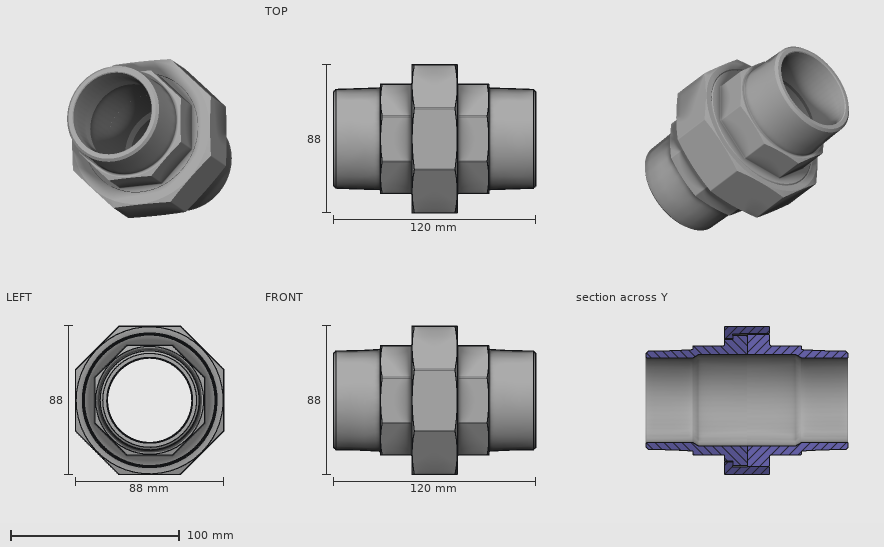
import cadquery as cq
import math


total_length = 120.0
nut_length = 27.0
octagon_end = 32.25
half_length = total_length / 2
nut_half = nut_length / 2

bore_dia = 50.0
bore_chamfer = 0.5
middle_bore_dia = 54.0
bore_step = 32.2
bore_step_angle = math.radians(30)
thread_tip_dia = 58.7
thread_taper = 1 / 16
thread_tip_chamfer = 1.5
root_radius = 0.5

half_step = math.pi / 8
body_across_flats = 65.0
body_face_dia = 64.0
nut_across_flats = 88.0
nut_face_dia = 87.2
corner_angle = math.radians(20)
octagon_corner_radius = 1.0
octagon_base_fillet = 0.5
position_tolerance = 0.01

joint_dia = 78.75
nut_countersink_dia = 80.0
thread_face_dia = 77.5
nut_chamfer = (nut_countersink_dia - joint_dia) / 2
thread_chamfer = (joint_dia - thread_face_dia) / 2

lip_bore_dia = 73.0
neck_dia = 72.5
lip_thickness = 5.0
flange_dia = 77.5


def cylinder(diameter, x_start, x_end):
    """Cylinder about the X axis between two X positions."""
    return cq.Workplane("YZ", origin=(x_start, 0, 0)).circle(diameter / 2).extrude(x_end - x_start)


def cone(start_dia, end_dia, x_start, x_end):
    """Truncated cone about the X axis between two X positions."""
    axis_point = cq.Vector(x_start, 0, 0)
    solid = cq.Solid.makeCone(start_dia / 2, end_dia / 2, x_end - x_start, axis_point, cq.Vector(1, 0, 0))
    return cq.Workplane(obj=solid)


def octagon(across_flats, x_start, x_end):
    """Octagonal bar about the X axis, flats facing Y and Z, with rounded corners."""
    corner_dia = across_flats / math.cos(half_step)
    bar = cq.Workplane("YZ", origin=(x_start, 0, 0)).transformed(rotate=(0, 0, math.degrees(half_step)))
    bar = bar.polygon(8, corner_dia).extrude(x_end - x_start)
    return bar.edges("|X").fillet(octagon_corner_radius)


def corner_cone(face_dia, across_flats, x_face, x_inside):
    """Turned envelope that chamfers the octagon corners at the x_face end."""
    outer_radius = across_flats / 2 / math.cos(half_step)
    inward = math.copysign(1, x_inside - x_face)
    x_rim = x_face + inward * (outer_radius - face_dia / 2) * math.tan(corner_angle)
    profile = [
        (x_face, 0),
        (x_face, face_dia / 2),
        (x_rim, outer_radius),
        (x_inside, outer_radius),
        (x_inside, 0),
    ]
    return cq.Workplane("XY").polyline(profile).close().revolve(360, (0, 0, 0), (1, 0, 0))


def pipe_end():
    """Tapered pipe end at -X, with its tip chamfer and its root fillet."""
    tip_radius = thread_tip_dia / 2
    x_root = -octagon_end - root_radius
    root_end_radius = tip_radius + (x_root + half_length) * thread_taper / 2
    fillet_end_radius = root_end_radius + root_radius
    fillet_middle = (
        -octagon_end - root_radius * (1 - math.sin(math.pi / 4)),
        root_end_radius + root_radius * (1 - math.cos(math.pi / 4)),
    )
    outline = (
        cq.Workplane("XY")
        .moveTo(-half_length, 0)
        .lineTo(-half_length, tip_radius - thread_tip_chamfer)
        .lineTo(-half_length + thread_tip_chamfer, tip_radius)
        .lineTo(x_root, root_end_radius)
        .threePointArc(fillet_middle, (-octagon_end, fillet_end_radius))
        .lineTo(-octagon_end, 0)
        .close()
    )
    return outline.revolve(360, (0, 0, 0), (1, 0, 0))


def outer_half():
    """Pipe end and wrench octagon at -X, solid, up to the nut face."""
    bar = octagon(body_across_flats, -octagon_end, -nut_half)
    bar = bar.intersect(corner_cone(body_face_dia, body_across_flats, -octagon_end, -nut_half))
    return pipe_end().union(bar)


def fillet_octagon_base(body):
    """Fillet the octagonal corner where the -X octagon meets the round base behind it."""
    def is_octagon_edge(edge):
        off_axis = math.hypot(edge.Center().y, edge.Center().z)
        across_axis = edge.BoundingBox().xlen < position_tolerance
        in_base_plane = abs(edge.Center().x + nut_half) < position_tolerance
        return across_axis and in_base_plane and off_axis > body_across_flats / 2 - octagon_corner_radius

    return body.newObject(body.edges().filter(is_octagon_edge).vals()).fillet(octagon_base_fillet)


def bore(body):
    """Bore the -X body: mouth chamfer, pipe bore, widening cone and wide middle bore."""
    mouth_dia = bore_dia + 2 * bore_chamfer
    widening_length = (middle_bore_dia - bore_dia) / 2 / math.tan(bore_step_angle)
    widening_end = -bore_step + widening_length
    body = body.cut(cone(mouth_dia, bore_dia, -half_length, -half_length + bore_chamfer))
    body = body.cut(cylinder(bore_dia, -half_length, -bore_step))
    body = body.cut(cone(bore_dia, middle_bore_dia, -bore_step, widening_end))
    return body.cut(cylinder(middle_bore_dia, widening_end, 0))


def build_left_body():
    thread = cylinder(joint_dia, -nut_half, 0).faces("<X").chamfer(thread_chamfer)
    return bore(fillet_octagon_base(outer_half().union(thread)))


def build_right_body():
    neck = cylinder(neck_dia, -nut_half, -nut_half + lip_thickness)
    flange = cylinder(flange_dia, -nut_half + lip_thickness, 0)
    body = bore(fillet_octagon_base(outer_half().union(neck)).union(flange))
    return body.rotate((0, 0, 0), (0, 0, 1), 180)


def build_nut():
    nut = octagon(nut_across_flats, -nut_half, nut_half)
    nut = nut.intersect(corner_cone(nut_face_dia, nut_across_flats, -nut_half, nut_half))
    nut = nut.intersect(corner_cone(nut_face_dia, nut_across_flats, nut_half, -nut_half))
    nut = nut.cut(cylinder(joint_dia, -nut_half, nut_half - lip_thickness))
    nut = nut.cut(cylinder(lip_bore_dia, -nut_half, nut_half))
    return nut.cut(cone(nut_countersink_dia, joint_dia, -nut_half, -nut_half + nut_chamfer))


left_body = build_left_body()
right_body = build_right_body()
nut = build_nut()

result = cq.Compound.makeCompound([left_body.val(), right_body.val(), nut.val()])